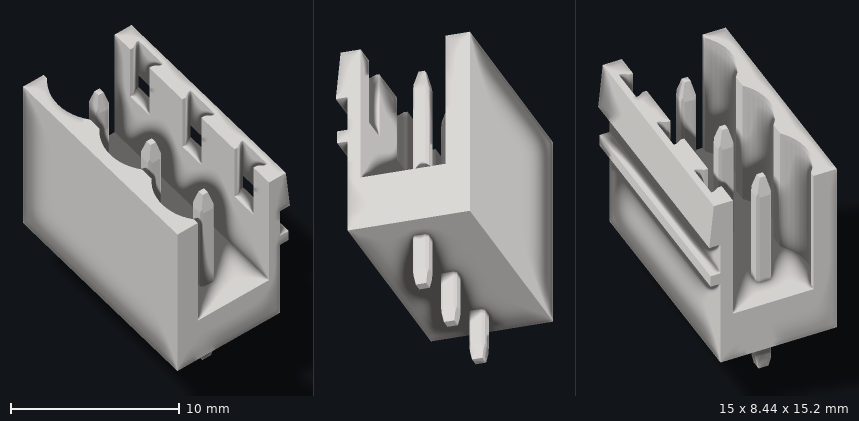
import cadquery as cq


POLES = 3
PITCH = 5.08
POLE_XS = [(i - (POLES - 1) / 2) * PITCH for i in range(POLES)]

WIDTH = 15.03
DEPTH = 7.69
HEIGHT = 12.01
FLOOR_Z = 3.42
FRONT_WALL = 1.54
BACK_WALL = 0.82
CHANNEL_BACK_Y = DEPTH - BACK_WALL

LATCH_HEIGHT = 3.07
LATCH_TOP_REACH = 0.44
LATCH_REACH = 0.75

RIB_REACH = 0.65
RIB_HEIGHT = 0.79
RIB_TOP_Z = 6.76
RIB_BOTTOM_Z = RIB_TOP_Z - RIB_HEIGHT
RIB_ROOT_RADIUS = 0.08

SCALLOP_CHORD = 4.16
SCALLOP_DEPTH = 0.78

KEYWAY_HEIGHT = 4.15
KEYWAY_MOUTH = 1.85
KEYWAY_BACK = 2.35
KEYWAY_LIP = 0.25
KEYWAY_FLARE = 0.4

PIN_Y = 3.82
PIN_SIZE = 1.0
PIN_CORNER_DIAMETER = 1.2

MATING_PIN_SETBACK = 0.88
MATING_PIN_LENGTH = HEIGHT - MATING_PIN_SETBACK - FLOOR_Z
MATING_TIP_LENGTH = 1.25
MATING_TIP_SIZE = 0.4

SOLDER_PIN_LENGTH = 3.19
SOLDER_TIP_LENGTH = 0.95
SOLDER_TIP_SIZE = 0.65


def make_channel():
    """U-shaped body with the latch wedge and the rib on its back wall."""
    latch_bottom_z = HEIGHT - LATCH_HEIGHT
    channel = (
        cq.Workplane("YZ")
        .moveTo(0, 0)
        .lineTo(DEPTH, 0)
        .lineTo(DEPTH, RIB_BOTTOM_Z)
        .lineTo(DEPTH + RIB_REACH, RIB_BOTTOM_Z)
        .lineTo(DEPTH + RIB_REACH, RIB_TOP_Z)
        .lineTo(DEPTH, RIB_TOP_Z)
        .lineTo(DEPTH, latch_bottom_z)
        .lineTo(DEPTH + LATCH_REACH, latch_bottom_z)
        .lineTo(DEPTH + LATCH_TOP_REACH, HEIGHT)
        .lineTo(CHANNEL_BACK_Y, HEIGHT)
        .lineTo(CHANNEL_BACK_Y, FLOOR_Z)
        .lineTo(FRONT_WALL, FLOOR_Z)
        .lineTo(FRONT_WALL, HEIGHT)
        .lineTo(0, HEIGHT)
        .close()
        .extrude(WIDTH / 2, both=True)
    )
    margin = RIB_ROOT_RADIUS / 2
    rib_roots = cq.selectors.BoxSelector(
        (-WIDTH, DEPTH - margin, RIB_BOTTOM_Z - margin),
        (WIDTH, DEPTH + margin, RIB_TOP_Z + margin),
    )
    return channel.edges(rib_roots).fillet(RIB_ROOT_RADIUS)


def make_scallop_cutter(x):
    """Circular-segment cutter that hollows the front wall down to the floor."""
    return (
        cq.Workplane("XY", origin=(x, FRONT_WALL, FLOOR_Z))
        .moveTo(-SCALLOP_CHORD / 2, 0)
        .threePointArc((0, -SCALLOP_DEPTH), (SCALLOP_CHORD / 2, 0))
        .close()
        .extrude(HEIGHT - FLOOR_Z)
    )


def make_keyway_cutter(x):
    """Dovetail cutter as deep as the back wall; below the latch it opens a window."""
    mouth = KEYWAY_MOUTH / 2
    back = KEYWAY_BACK / 2
    flare_end = KEYWAY_LIP + KEYWAY_FLARE
    return (
        cq.Workplane("XY", origin=(x, CHANNEL_BACK_Y, HEIGHT - KEYWAY_HEIGHT))
        .moveTo(-mouth, 0)
        .lineTo(-mouth, KEYWAY_LIP)
        .lineTo(-back, flare_end)
        .lineTo(-back, BACK_WALL)
        .lineTo(back, BACK_WALL)
        .lineTo(back, flare_end)
        .lineTo(mouth, KEYWAY_LIP)
        .lineTo(mouth, 0)
        .close()
        .extrude(KEYWAY_HEIGHT)
    )


def make_housing():
    housing = make_channel()
    for x in POLE_XS:
        housing = housing.cut(make_scallop_cutter(x))
        housing = housing.cut(make_keyway_cutter(x))
    return housing


def make_pin(length, tip_length, tip_size):
    """Square pin along +Z from the origin, with a tapered tip and corners turned to a circle."""
    round_stock = cq.Workplane("XY").circle(PIN_CORNER_DIAMETER / 2).extrude(length)
    shank_length = length - tip_length
    square_pin = (
        cq.Workplane("XY")
        .rect(PIN_SIZE, PIN_SIZE)
        .extrude(shank_length)
        .faces(">Z")
        .workplane()
        .rect(PIN_SIZE, PIN_SIZE)
        .workplane(offset=tip_length)
        .rect(tip_size, tip_size)
        .loft(combine=True)
    )
    return square_pin.intersect(round_stock)


def make_mating_pin(x):
    pin = make_pin(MATING_PIN_LENGTH, MATING_TIP_LENGTH, MATING_TIP_SIZE)
    return pin.translate((x, PIN_Y, FLOOR_Z))


def make_solder_pin(x):
    pin = make_pin(SOLDER_PIN_LENGTH, SOLDER_TIP_LENGTH, SOLDER_TIP_SIZE)
    return pin.mirror("XY").translate((x, PIN_Y, 0))


housing = make_housing()
mating_pins = [make_mating_pin(x).val() for x in POLE_XS]
solder_pins = [make_solder_pin(x).val() for x in POLE_XS]

result = cq.Compound.makeCompound([housing.val(), *mating_pins, *solder_pins])